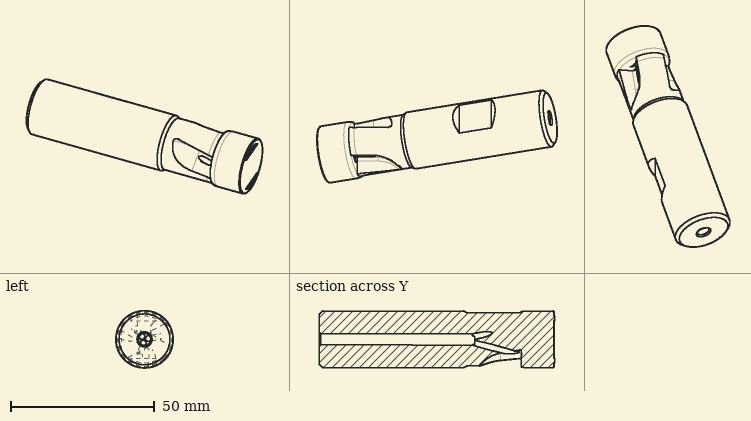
import cadquery as cq
import math

LENGTH = 81.8
BODY_RADIUS = 10.0
NECK_RADIUS = 9.3
END_CHAMFER = 1.15
SHANK_END = 50.15
NECK_START = 51.4
NECK_END = 68.3
HEAD_BACK = 70.1
HEAD_BACK_RADIUS = 9.5
HEAD_ROUND_END = 71.8
TIP_HEIGHT = 0.25
TIP_CHAMFER = 0.3
HEAD_FRONT = LENGTH - TIP_HEIGHT

TIP_RADIUS = 8.2
TIP_FLAT = 6.55

NOTCH_START = 17.0
NOTCH_END = 32.3
NOTCH_DEPTH = 1.9

BORE_RADIUS = 2.1
BORE_MOUTH_RADIUS = 2.6
BORE_DEPTH = 54.0
BRANCH_RADIUS = 1.0
BRANCH_START = 49.1
BRANCH_END = (HEAD_BACK, -4.2, 4.0)

FLUTE_COUNT = 3
FLUTE_ANGLE = 32.0
FLUTE_START = 54.5
FLOOR_START = 62.9
FLOOR_START_HEIGHT = 3.85
FLOOR_END_HEIGHT = 2.8
WALL_TWIST = 0.22
WALL_LEAN = 0.57
FLUTE_CORNER_RADIUS = 0.8
WALL_OFFSET = 0.25
CUT_SIZE = 40.9


def make_body():
    round_length = HEAD_ROUND_END - HEAD_BACK
    round_height = BODY_RADIUS - HEAD_BACK_RADIUS
    round_middle = (
        HEAD_ROUND_END - round_length * math.cos(math.pi / 4),
        HEAD_BACK_RADIUS + round_height * math.sin(math.pi / 4),
    )
    return (
        cq.Workplane("XY")
        .moveTo(0, 0)
        .lineTo(0, BODY_RADIUS - END_CHAMFER)
        .lineTo(END_CHAMFER, BODY_RADIUS)
        .lineTo(SHANK_END, BODY_RADIUS)
        .lineTo(NECK_START, NECK_RADIUS)
        .lineTo(NECK_END, NECK_RADIUS)
        .lineTo(HEAD_BACK, HEAD_BACK_RADIUS)
        .spline([round_middle, (HEAD_ROUND_END, BODY_RADIUS)], [(0, 1), (1, 0)], includeCurrent=True)
        .lineTo(HEAD_FRONT - TIP_CHAMFER, BODY_RADIUS)
        .lineTo(HEAD_FRONT, BODY_RADIUS - TIP_CHAMFER)
        .lineTo(HEAD_FRONT, 0)
        .close()
        .revolve(360, (0, 0, 0), (1, 0, 0))
    )


def make_tips():
    disc = cq.Workplane("YZ").workplane(offset=HEAD_FRONT).circle(TIP_RADIUS).extrude(TIP_HEIGHT)
    middle = cq.Workplane("XY").box(3 * LENGTH, CUT_SIZE, 2 * TIP_FLAT)
    return disc.cut(middle)


def make_notch():
    return (
        cq.Workplane("XY")
        .moveTo(NOTCH_START, BODY_RADIUS)
        .lineTo(NOTCH_START + NOTCH_DEPTH, BODY_RADIUS - NOTCH_DEPTH)
        .lineTo(NOTCH_END - NOTCH_DEPTH, BODY_RADIUS - NOTCH_DEPTH)
        .lineTo(NOTCH_END, BODY_RADIUS)
        .close()
        .extrude(CUT_SIZE / 2, both=True)
    )


def make_bore():
    mouth_depth = BORE_MOUTH_RADIUS - BORE_RADIUS
    return (
        cq.Workplane("XY")
        .moveTo(0, 0)
        .lineTo(0, BORE_MOUTH_RADIUS)
        .lineTo(mouth_depth, BORE_RADIUS)
        .lineTo(BORE_DEPTH, BORE_RADIUS)
        .lineTo(BORE_DEPTH, 0)
        .close()
        .revolve(360, (0, 0, 0), (1, 0, 0))
    )


def make_flute():
    """Flute with its floor facing +Z and its wall on the +Y side."""
    blank = (
        cq.Workplane("XZ")
        .moveTo(HEAD_BACK, FLOOR_END_HEIGHT)
        .lineTo(FLOOR_START, FLOOR_START_HEIGHT)
        .tangentArcPoint((FLUTE_START, NECK_RADIUS), relative=False)
        .lineTo(FLUTE_START, CUT_SIZE / 2)
        .lineTo(HEAD_BACK, CUT_SIZE / 2)
        .close()
        .extrude(CUT_SIZE / 2, both=True)
    )
    wall_plane = cq.Plane(
        origin=(HEAD_BACK, WALL_OFFSET, FLOOR_END_HEIGHT),
        xDir=(1, -WALL_TWIST, 0),
        normal=(-WALL_TWIST, -1, -WALL_LEAN),
    )
    flute_side = cq.Workplane(wall_plane).rect(2 * CUT_SIZE, 2 * CUT_SIZE).extrude(CUT_SIZE)
    flute = blank.intersect(flute_side)
    corner_points = cq.selectors.BoxSelector(
        (FLUTE_START, -BODY_RADIUS, 0), (HEAD_BACK - 0.8, BODY_RADIUS, NECK_RADIUS)
    )
    return flute.edges(corner_points).fillet(FLUTE_CORNER_RADIUS)


def make_branch():
    """Oblique coolant hole from the bore breaking out through the flute floor."""
    end_x, end_y, end_z = BRANCH_END
    start = cq.Vector(BRANCH_START, 0, 0)
    direction = cq.Vector(end_x - BRANCH_START, end_y, end_z)
    hole = cq.Solid.makeCylinder(BRANCH_RADIUS, direction.Length, start, direction)
    return cq.Workplane(hole)


result = make_body().union(make_tips()).cut(make_notch()).cut(make_bore())
flute_cut = make_flute().union(make_branch())
for index in range(FLUTE_COUNT):
    angle = FLUTE_ANGLE + index * 360 / FLUTE_COUNT
    result = result.cut(flute_cut.rotate((0, 0, 0), (1, 0, 0), angle))